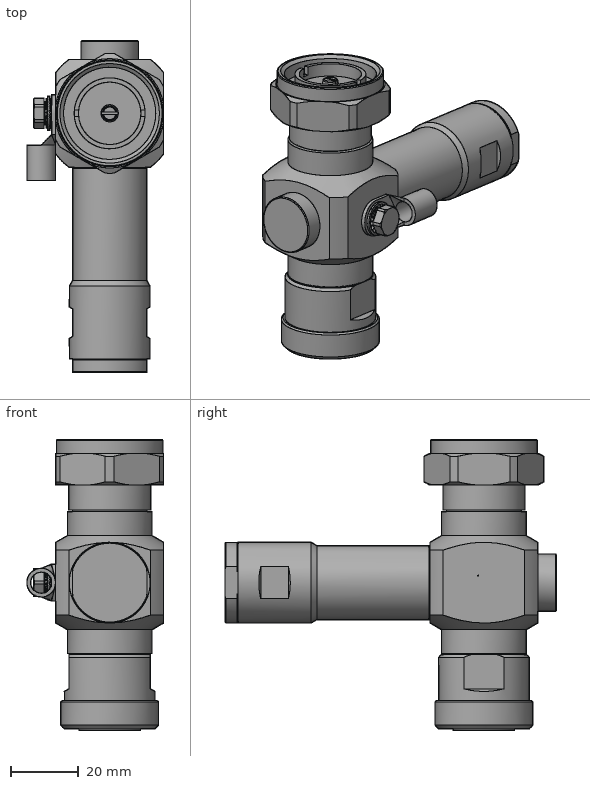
import cadquery as cq
import math


block_half = 16.0
block_turn_radius = 20.0
neck_radius = 12.6
neck_end = 21.0
cone_start = 14.0
cone_angle = 30
plug_radius = 8.5
plug_end = 21.5
small_chamfer = 0.3

upper_groove_radius = 11.1
groove_width = 0.5
upper_sleeve_radius = 12.2
contact_floor = 37.6
contact_outer_radius = 10.5
contact_inner_radius = 9.2
contact_top = 41.5
contact_slot_width = 2.0
contact_slot_depth = 2.6
pin_base_radius = 2.6
pin_top_radius = 2.2
pin_height = 2.3
pin_slot_width = 0.7
pin_slot_depth = 1.8

nut_bottom = 29.0
nut_shoulder = 32.4
nut_hex_top = 38.3
nut_top = 42.4
nut_half_flats = 16.0
nut_corner_radius = 17.8
nut_face_radius = 16.2
nut_bevel_height = 0.9
nut_collar_radius = 15.8
nut_bore_radius = 13.7
nut_mouth_radius = 14.7
nut_mouth_depth = 0.9

lower_groove_radius = 12.0
lower_groove_width = 0.3
lower_body_radius = 13.5
lower_body_bevel = 0.8
lower_flange_top = -34.9
lower_flange_radius = 14.5
lower_flange_bevel = 0.5
lower_rim_bevel = 1.1
lower_end = -43.3
lower_ring_radius = 9.1
lower_ring_height = 0.5
lower_flat_distance = 12.1
lower_flat_bottom = -31.4
lower_flat_run_out = 0.8

stub_groove_radius = 10.5
stub_groove_width = 0.3
stub_radius = 11.0
sleeve_radius = 12.0
sleeve_cone_start = 49.5
sleeve_start = 51.2
sleeve_end = 72.8
cap_groove_radius = 11.5
cap_groove_width = 0.3
cap_end = 76.7
wrench_flat_distance = 11.0
wrench_flat_start = 58.0
wrench_flat_end = 66.1
wrench_flat_run_out = 0.6

lug_thickness = 1.2
lug_eye_radius = 5.5
lug_plate_length = 6.3
lug_tube_start = 9.4
lug_tube_end = 19.9
lug_tube_diameter = 8.5
washer_radius = 5.1
washer_ring_inner_radius = 4.2
washer_thickness = 0.7
washer_center = 18.1
tooth_count = 18
tooth_width = 1.4
tooth_thickness = 0.6
tooth_twist = 50
tooth_inner_radius = 2.8
tooth_overlap = 0.2
screw_radius = 2.5
screw_depth = 5.9
screw_collar_radius = 3.4
screw_collar_start = 19.2
screw_head_start = 19.5
screw_head_end = 22.5
screw_half_flats = 4.1
screw_corner_radius = 4.5

big = 58.95


def turned(profile):
    """Solid of revolution about Z from (radius, height) points."""
    return cq.Workplane("XZ").polyline(profile).close().revolve(360, (0, 0), (0, 1))


def rod(radius, start, end):
    """Cylinder on the Z axis between two heights."""
    return cq.Workplane("XY").workplane(offset=start).circle(radius).extrude(end - start)


def to_minus_y(body):
    """Turn a body built along +Z so that it points along -Y."""
    return body.rotate((0, 0, 0), (1, 0, 0), 90)


def to_minus_x(body):
    """Turn a body built along +Z so that it points along -X."""
    return body.rotate((0, 0, 0), (0, 1, 0), -90)


def hexagon(half_flats, start, end):
    """Hexagonal prism with flats facing +X and -X."""
    across_corners = 2 * half_flats / math.cos(math.radians(30))
    return (
        cq.Workplane("XY").workplane(offset=start)
        .transformed(rotate=(0, 0, 90))
        .polygon(6, across_corners).extrude(end - start)
    )


def flat_cutters(distance, profile):
    """Pair of cutters at +X and -X; the profile gives (depth beyond the flat, height)."""
    points = [(distance + depth, height) for depth, height in profile]
    cutter = cq.Workplane("XZ").polyline(points).close().extrude(big / 2, both=True)
    return cutter.union(cutter.mirror("YZ"))


def make_housing():
    cone_drop = (block_turn_radius - neck_radius) * math.tan(math.radians(cone_angle))
    cone_end = cone_start - cone_drop
    envelope = turned([
        (0, neck_end), (neck_radius, neck_end), (neck_radius, cone_start),
        (block_turn_radius, cone_end), (block_turn_radius, -cone_end),
        (neck_radius, -cone_start), (neck_radius, -neck_end), (0, -neck_end),
    ])
    block = cq.Workplane("XY").box(2 * block_half, 2 * block_half, 2 * neck_end)
    plug = rod(plug_radius, 0, plug_end).faces(">Z").chamfer(small_chamfer)
    plug = plug.rotate((0, 0, 0), (1, 0, 0), -90)
    screw_hole = to_minus_x(rod(screw_radius, block_half - screw_depth, block_half))
    return envelope.intersect(block).union(plug).cut(screw_hole)


def make_upper_port():
    groove_top = neck_end + groove_width
    port = turned([
        (0, neck_end), (upper_groove_radius, neck_end), (upper_groove_radius, groove_top),
        (upper_sleeve_radius, groove_top), (upper_sleeve_radius, nut_shoulder),
        (nut_bore_radius, nut_shoulder), (nut_bore_radius, contact_floor),
        (contact_outer_radius, contact_floor), (contact_outer_radius, contact_top),
        (contact_inner_radius, contact_top), (contact_inner_radius, contact_floor),
        (pin_base_radius, contact_floor), (pin_top_radius, contact_floor + pin_height - small_chamfer),
        (pin_top_radius - small_chamfer, contact_floor + pin_height), (0, contact_floor + pin_height),
    ])
    contact_slot = (
        cq.Workplane("XY").workplane(offset=contact_top - contact_slot_depth)
        .rect(2 * nut_bore_radius, contact_slot_width).rect(2 * pin_base_radius, contact_slot_width)
        .extrude(contact_slot_depth)
    )
    pin_slot = (
        cq.Workplane("XY").workplane(offset=contact_floor + pin_height - pin_slot_depth)
        .rect(2 * pin_base_radius, pin_slot_width).extrude(pin_slot_depth)
    )
    return port.cut(contact_slot).cut(pin_slot)


def make_coupling_nut():
    bevels = turned([
        (0, nut_bottom), (nut_face_radius, nut_bottom),
        (nut_corner_radius, nut_bottom + nut_bevel_height),
        (nut_corner_radius, nut_hex_top - nut_bevel_height),
        (nut_face_radius, nut_hex_top), (0, nut_hex_top),
    ])
    collar = rod(nut_collar_radius, nut_hex_top, nut_top).faces(">Z").chamfer(small_chamfer)
    bore = turned([
        (0, nut_bottom), (upper_sleeve_radius, nut_bottom), (upper_sleeve_radius, nut_shoulder),
        (nut_bore_radius, nut_shoulder), (nut_bore_radius, nut_top - nut_mouth_depth),
        (nut_mouth_radius, nut_top), (0, nut_top),
    ])
    return hexagon(nut_half_flats, nut_bottom, nut_hex_top).intersect(bevels).union(collar).cut(bore)


def make_lower_port():
    body_top = -neck_end - lower_groove_width
    ring_end = lower_end - lower_ring_height
    port = turned([
        (0, -neck_end), (lower_groove_radius, -neck_end), (lower_groove_radius, body_top),
        (lower_body_radius - lower_body_bevel, body_top),
        (lower_body_radius, body_top - lower_body_bevel), (lower_body_radius, lower_flange_top),
        (lower_flange_radius - lower_flange_bevel, lower_flange_top),
        (lower_flange_radius, lower_flange_top - lower_flange_bevel),
        (lower_flange_radius, lower_end + lower_rim_bevel),
        (lower_flange_radius - lower_rim_bevel, lower_end),
        (lower_ring_radius, lower_end), (lower_ring_radius, ring_end), (0, ring_end),
    ])
    depth = lower_body_radius - lower_flat_distance
    flats = flat_cutters(lower_flat_distance, [
        (0, body_top), (depth, body_top),
        (depth, lower_flat_bottom - lower_flat_run_out), (0, lower_flat_bottom),
    ])
    return port.cut(flats)


def make_stub():
    groove_end = block_half + stub_groove_width
    stub = turned([
        (0, block_half), (stub_groove_radius, block_half), (stub_groove_radius, groove_end),
        (stub_radius, groove_end), (stub_radius, sleeve_cone_start),
        (sleeve_radius, sleeve_start), (sleeve_radius, sleeve_end), (0, sleeve_end),
    ])
    depth = sleeve_radius - wrench_flat_distance
    flats = flat_cutters(wrench_flat_distance, [
        (0, wrench_flat_start), (depth, wrench_flat_start - wrench_flat_run_out),
        (depth, wrench_flat_end + wrench_flat_run_out), (0, wrench_flat_end),
    ])
    return to_minus_y(stub.cut(flats))


def make_end_cap():
    groove_end = sleeve_end + cap_groove_width
    cap = turned([
        (0, sleeve_end), (cap_groove_radius, sleeve_end), (cap_groove_radius, groove_end),
        (sleeve_radius, groove_end), (sleeve_radius, cap_end - small_chamfer),
        (sleeve_radius - small_chamfer, cap_end), (0, cap_end),
    ])
    depth = sleeve_radius - wrench_flat_distance
    flats = flat_cutters(wrench_flat_distance, [
        (0, sleeve_end), (depth, sleeve_end), (depth, cap_end), (0, cap_end),
    ])
    return to_minus_y(cap.cut(flats))


lug_tube_radius = lug_tube_diameter / 2
lug_top = block_half + lug_thickness
lug_tube_axis = block_half + lug_tube_radius
lug_bore_radius = lug_tube_radius - lug_thickness


def make_lug_flare(side):
    """Cone-shaped wing from a plate corner to a quarter of the tube wall."""
    def wall_point(radius, angle):
        return cq.Vector(
            -lug_tube_axis + radius * math.cos(math.radians(angle)),
            -lug_tube_start,
            side * radius * math.sin(math.radians(angle)),
        )

    def wall_arc(radius):
        return cq.Edge.makeThreePointArc(*[wall_point(radius, angle) for angle in (0, 45, 90)])

    wall = cq.Wire.assembleEdges([
        wall_arc(lug_tube_radius),
        cq.Edge.makeLine(wall_point(lug_tube_radius, 90), wall_point(lug_bore_radius, 90)),
        wall_arc(lug_bore_radius),
        cq.Edge.makeLine(wall_point(lug_bore_radius, 0), wall_point(lug_tube_radius, 0)),
    ])
    corner = cq.Vertex.makeVertex(-lug_top, -lug_plate_length, side * lug_eye_radius)
    return cq.Workplane(cq.occ_impl.shapes.loft(wall, corner, cap=True, ruled=True))


def make_lug():
    plate = (
        cq.Workplane("YZ").workplane(offset=-lug_top)
        .moveTo(0, lug_eye_radius).lineTo(-lug_plate_length, lug_eye_radius)
        .lineTo(-lug_tube_start, 0).lineTo(-lug_plate_length, -lug_eye_radius)
        .lineTo(0, -lug_eye_radius).threePointArc((lug_eye_radius, 0), (0, lug_eye_radius))
        .close().extrude(lug_thickness)
    )
    tube = (
        cq.Workplane("XZ", origin=(-lug_tube_axis, -lug_tube_start, 0))
        .circle(lug_tube_radius).circle(lug_bore_radius).extrude(lug_tube_end - lug_tube_start)
    )
    lug = plate.union(tube)
    for side in (1, -1):
        lug = lug.union(make_lug_flare(side))
    return lug.cut(to_minus_x(rod(screw_radius, block_half, lug_top)))


def make_screw():
    shank = rod(screw_radius, block_half - screw_depth, screw_collar_start)
    collar = rod(screw_collar_radius, screw_collar_start, screw_head_start)
    round_envelope = rod(screw_corner_radius, screw_head_start, screw_head_end)
    round_envelope = round_envelope.faces(">Z").chamfer(small_chamfer)
    head = hexagon(screw_half_flats, screw_head_start, screw_head_end).intersect(round_envelope)
    return to_minus_x(shank.union(collar).union(head))


def make_washer():
    """Ring with inward teeth, each twisted about its own radius."""
    bottom = washer_center - washer_thickness / 2
    washer = rod(washer_radius, bottom, bottom + washer_thickness)
    washer = washer.cut(rod(washer_ring_inner_radius, bottom, bottom + washer_thickness))
    tooth_length = washer_ring_inner_radius + tooth_overlap - tooth_inner_radius
    tooth = (
        cq.Workplane("XY").box(tooth_length, tooth_width, tooth_thickness)
        .rotate((0, 0, 0), (1, 0, 0), tooth_twist)
        .translate((tooth_inner_radius + tooth_length / 2, 0, washer_center))
    )
    for index in range(tooth_count):
        washer = washer.union(tooth.rotate((0, 0, 0), (0, 0, 1), index * 360 / tooth_count))
    return to_minus_x(washer)


housing = make_housing()
upper_port = make_upper_port()
coupling_nut = make_coupling_nut()
lower_port = make_lower_port()
stub = make_stub()
end_cap = make_end_cap()
lug = make_lug()
screw = make_screw()
washer = make_washer()

bodies = [housing, upper_port, coupling_nut, lower_port, stub, end_cap, lug, screw, washer]
result = cq.Compound.makeCompound([body.solids().val() for body in bodies])